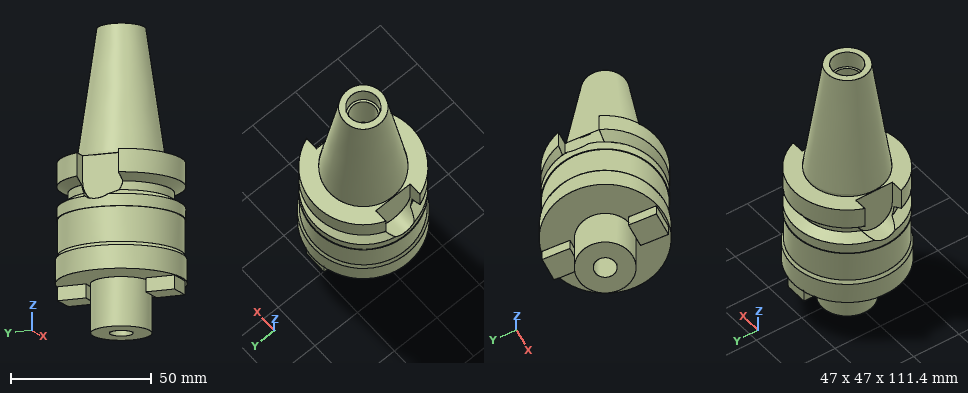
import cadquery as cq

total_height = 111.4
pilot_height = 18.0
collar_height = 8.7
collar_chamfer_height = 1.3
body_height = 13.0
lower_rim_height = 4.5
groove_side_height = 2.3
groove_floor_height = 3.2
upper_rim_height = 8.6
taper_collar_height = 1.0

pilot_diameter = 22.0
collar_diameter = 47.0
body_diameter = 45.5
rim_diameter = 46.0
groove_diameter = 38.0
taper_large_diameter = 31.7
taper_small_diameter = 17.6

mouth_diameter = 12.5
mouth_depth = 7.0
thread_diameter = 10.7
thread_depth = 24.0
through_diameter = 8.5

slot_width = 16.0
slot_floor_distance = 16.2
slot_height = 17.8

key_width = 9.8
key_height = 5.1
key_inner_distance = 11.6
key_outer_distance = 22.6

collar_top = pilot_height + collar_height
body_bottom = collar_top + collar_chamfer_height
body_top = body_bottom + body_height
lower_rim_top = body_top + lower_rim_height
groove_bottom = lower_rim_top + groove_side_height
groove_top = groove_bottom + groove_floor_height
upper_rim_bottom = groove_top + groove_side_height
flange_top = upper_rim_bottom + upper_rim_height
taper_bottom = flange_top + taper_collar_height


def make_holder():
    """Revolve the outer profile of the tool holder about Z."""
    profile = [
        (0, 0),
        (pilot_diameter / 2, 0),
        (pilot_diameter / 2, pilot_height),
        (collar_diameter / 2, pilot_height),
        (collar_diameter / 2, collar_top),
        (body_diameter / 2, body_bottom),
        (body_diameter / 2, body_top),
        (rim_diameter / 2, body_top),
        (rim_diameter / 2, lower_rim_top),
        (groove_diameter / 2, groove_bottom),
        (groove_diameter / 2, groove_top),
        (rim_diameter / 2, upper_rim_bottom),
        (rim_diameter / 2, flange_top),
        (taper_large_diameter / 2, flange_top),
        (taper_large_diameter / 2, taper_bottom),
        (taper_small_diameter / 2, total_height),
        (0, total_height),
    ]
    return cq.Workplane("XZ").polyline(profile).close().revolve(360, (0, 0), (0, 1))


def make_bore(diameter, depth):
    """Cylinder reaching down from the top of the taper."""
    return cq.Workplane("XY").workplane(offset=total_height - depth).circle(diameter / 2).extrude(depth)


def make_slot(side):
    """Round-bottomed slot, open upwards and outwards along side * X."""
    radius = slot_width / 2
    bottom = flange_top - slot_height
    arc_center = bottom + radius
    return (
        cq.Workplane("YZ")
        .workplane(offset=side * slot_floor_distance)
        .moveTo(-radius, flange_top)
        .lineTo(-radius, arc_center)
        .threePointArc((0, bottom), (radius, arc_center))
        .lineTo(radius, flange_top)
        .close()
        .extrude(side * collar_diameter / 2)
    )


def make_key(side):
    """Rectangular key hanging below the collar along side * Y."""
    middle = side * (key_inner_distance + key_outer_distance) / 2
    length = key_outer_distance - key_inner_distance
    return (
        cq.Workplane("XY")
        .workplane(offset=pilot_height - key_height)
        .center(0, middle)
        .rect(key_width, length)
        .extrude(key_height)
    )


result = make_holder()
for side in (-1, 1):
    result = result.cut(make_slot(side)).union(make_key(side))

bore_steps = [
    (mouth_diameter, mouth_depth),
    (thread_diameter, thread_depth),
    (through_diameter, total_height),
]
for diameter, depth in bore_steps:
    result = result.cut(make_bore(diameter, depth))